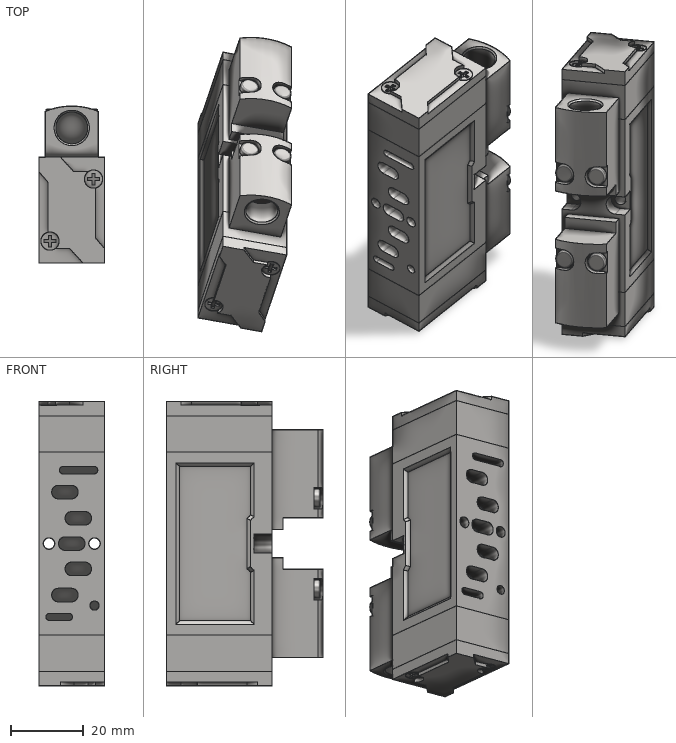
import cadquery as cq
import math

width = 18.0
depth = 29.0
length = 78.0
cap_thickness = 4.0
spacer_length = 9.9
half_length = length / 2
half_width = width / 2
body_length = length - 2 * (cap_thickness + spacer_length)
half_body = body_length / 2

port_depth = 6.25
wide_port_length = 7.25
wide_port_height = 3.75
pilot_port_height = 2.0
long_pilot_length = 10.5
supply_port = (0, 0, wide_port_length, wide_port_height)
outlet_ports = [(1.8, z, wide_port_length, wide_port_height) for z in (-6.95, 6.95)]
exhaust_ports = [(-1.9, z, wide_port_length, wide_port_height) for z in (-14.1, 14.1)]
pilot_ports = [
    (1.9, 20.1, long_pilot_length, pilot_port_height),
    (-3.4, -20.1, wide_port_length, pilot_port_height),
]
ports = [supply_port] + outlet_ports + exhaust_ports + pilot_ports
locating_hole_x = 6.25
locating_hole_z = -17.0
locating_hole_diameter = 2.5

mounting_hole_x = 6.25
mounting_hole_diameter = 3.05
head_recess_width = 5.2
head_recess_depth = 5.0

label_front = 2.65
label_back = 24.1
label_half_length = 22.15
label_depth = 0.85
label_bevel = 1.0
label_step = 1.0
label_step_half_length = 7.4

step_depth = 1.0
step_length_x = 12.1
step_inner_x = 8.4
step_length_y = 25.0
step_inner_y = 22.15
step_width_x = 2.5
step_width_y = 4.0
cap_screw_x = 3.05
cap_screw_y = 6.0
cap_screw_diameter = 5.0
cap_screw_sink = 0.15
cross_length = 3.2
cross_width = 0.85
cross_depth = 0.6

connector_width = 14.6
connector_height = 14.05
connector_crown = 1.5
connector_inner_z = 7.0
connector_outer_z = 31.3
flange_inner_z = 3.8
flange_thickness = 3.05
cable_hole_y = depth + 8.0
cable_hole_diameter = 8.7
cable_hole_mouth = 9.7
cable_hole_depth = 7.8
connector_screw_x = 4.6
connector_screw_z = 12.5
screw_recess_width = 5.9
screw_recess_floor = 40.55
screw_head_diameter = 5.0
screw_head_height = 1.6
screw_head_round = 0.4


def box(x_range, y_range, z_range):
    """Box between pairs of coordinates."""
    size = [high - low for low, high in (x_range, y_range, z_range)]
    corner = (x_range[0], y_range[0], z_range[0])
    return cq.Workplane("XY").box(*size, centered=False).translate(corner)


def turned_end_for_end(shape):
    """Copy turned half a turn about the Y axis."""
    return shape.rotate((0, 0, 0), (0, 1, 0), 180)


def front_plane(y=0):
    """Workplane at the given depth, facing -Y, with local x and y along X and Z."""
    return cq.Workplane(cq.Plane(origin=(0, y, 0), xDir=(1, 0, 0), normal=(0, -1, 0)))


def y_cylinder(x, z, diameter, y_start, y_end):
    """Cylinder along Y."""
    return front_plane(y_start).center(x, z).circle(diameter / 2).extrude(y_start - y_end)


def side_open_recess(x, z, recess_width, y_start, y_end, side_x):
    """Round-ended recess centred at x, z that runs out through the side at side_x."""
    half = recess_width / 2
    x_range = sorted((x, side_x))
    channel = box(x_range, (y_start, y_end), (z - half, z + half))
    return channel.union(y_cylinder(x, z, recess_width, y_start, y_end))


def label_outline(inset):
    """Label recess outline in Y and Z, moved inwards by inset on every side."""
    front = label_front + inset
    back = label_back - inset
    step_back = back - label_step
    end = label_half_length - inset
    ramp_outer = label_step_half_length + inset * math.tan(math.radians(22.5))
    ramp_inner = ramp_outer - label_step
    return [
        (front, -end), (back, -end), (back, -ramp_outer), (step_back, -ramp_inner),
        (step_back, ramp_inner), (back, ramp_outer), (back, end), (front, end),
    ]


def label_recess():
    """Recess in the -X side with sloping walls."""
    mouth = cq.Workplane("YZ", origin=(-half_width, 0, 0)).polyline(label_outline(0)).close()
    floor = mouth.workplane(offset=label_depth).polyline(label_outline(label_bevel)).close()
    return floor.loft(ruled=True, combine=True)


def make_body():
    body = box((-half_width, half_width), (0, depth), (-half_body, half_body))
    for x, z, slot_length, slot_height in ports:
        body = body.cut(front_plane().center(x, z).slot2D(slot_length, slot_height).extrude(-port_depth))
    body = body.cut(y_cylinder(locating_hole_x, locating_hole_z, locating_hole_diameter, 0, port_depth))
    for side in (-1, 1):
        x = side * mounting_hole_x
        recess_floor = depth - head_recess_depth
        body = body.cut(y_cylinder(x, 0, mounting_hole_diameter, 0, depth))
        body = body.cut(side_open_recess(x, 0, head_recess_width, recess_floor, depth, side * half_width))
    recess = label_recess()
    return body.cut(recess).cut(turned_end_for_end(recess))


def make_spacer():
    """Plain block on the +Z end of the body."""
    return box((-half_width, half_width), (0, depth), (half_body, half_body + spacer_length))


def cap_corner_cut():
    """Stepped-down corner at the -X front of the +Z cap, with its screw detail."""
    floor_z = half_length - step_depth
    outline = [
        (0, 0), (step_length_x, 0), (step_inner_x, step_width_y), (step_width_x, step_width_y),
        (step_width_x, step_inner_y), (0, step_length_y),
    ]
    corner = cq.Workplane("XY", origin=(-half_width, 0, floor_z))
    screw = cq.Workplane("XY", origin=(cap_screw_x - half_width, cap_screw_y, floor_z - cap_screw_sink))
    step = corner.polyline(outline).close().extrude(step_depth)
    head = screw.circle(cap_screw_diameter / 2).extrude(step_depth + cap_screw_sink)
    cross = screw.rect(cross_length, cross_width).extrude(-cross_depth)
    cross = cross.union(screw.rect(cross_width, cross_length).extrude(-cross_depth))
    return step.union(head).union(cross)


def make_cap():
    """End cap on the +Z end."""
    cap = box((-half_width, half_width), (0, depth), (half_length - cap_thickness, half_length))
    corner = cap_corner_cut()
    opposite_corner = corner.rotate((0, depth / 2, 0), (0, depth / 2, 1), 180)
    return cap.cut(corner).cut(opposite_corner)


def make_connector():
    """Crowned housing on the back of the +Z half, with a flange and two screws."""
    half = connector_width / 2
    top = depth + connector_height
    shoulder = top - connector_crown
    profile = cq.Workplane("XY", origin=(0, 0, connector_inner_z)).moveTo(-half, depth).lineTo(half, depth)
    profile = profile.lineTo(half, shoulder).threePointArc((0, top), (-half, shoulder)).close()
    housing = profile.extrude(connector_outer_z - connector_inner_z)
    flange = box((-half, half), (depth, depth + flange_thickness), (flange_inner_z, connector_inner_z))
    housing = housing.union(flange)

    cable_hole = cq.Workplane("XY", origin=(0, cable_hole_y, connector_outer_z))
    housing = housing.cut(cable_hole.circle(cable_hole_diameter / 2).extrude(-cable_hole_depth))
    mouth_depth = (cable_hole_mouth - cable_hole_diameter) / 2
    mouth = cable_hole.circle(cable_hole_mouth / 2).extrude(-mouth_depth, taper=45)
    housing = housing.cut(mouth)

    z = connector_screw_z
    head_top = screw_recess_floor + screw_head_height
    for side in (-1, 1):
        x = side * connector_screw_x
        recess = side_open_recess(x, z, screw_recess_width, screw_recess_floor, top, side * half)
        housing = housing.cut(recess)
        head = y_cylinder(x, z, screw_head_diameter, screw_recess_floor, head_top)
        housing = housing.union(head.faces(">Y").edges().fillet(screw_head_round))
    return housing


body = make_body()
spacer = make_spacer()
cap = make_cap()
connector = make_connector()

solids = [body.val()]
for part in (spacer, cap):
    solids += [part.val(), turned_end_for_end(part).val()]
solids += [connector.val(), turned_end_for_end(connector).val()]
result = cq.Compound.makeCompound(solids)